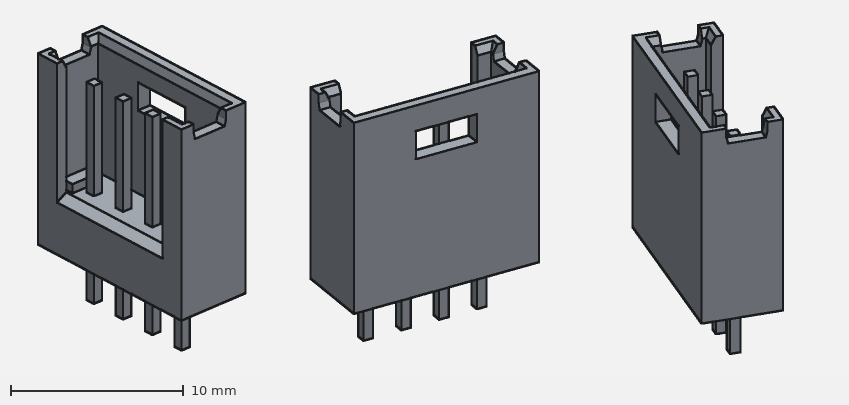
import cadquery as cq

body_x = 12.45
body_y = 5.0
body_z = 12.6

end_wall = 0.73
back_wall = 0.96
front_wall = 0.74
floor_z = 3.6
lead_in_width = 0.285
lead_in_depth = 0.515

pin_count = 4
pin_pitch = 2.54
pin_size = 0.64
pin_tail = 3.5
pin_top_z = 10.87
pin_y = -0.28

opening_x = 9.16
sill_outer_z = 3.44
sill_inner_z = 3.84

window_x = 4.1
window_bottom_z = 9.06
window_top_z = 10.91

notch_top_width = 2.52
notch_bottom_width = 2.3
notch_depth = 1.0
notch_taper_height = 0.43

key_y = 2.0
key_height = 0.6

cavity_x = body_x - 2 * end_wall
cavity_back_y = body_y / 2 - back_wall
cavity_front_y = -body_y / 2 + front_wall
cavity_y = cavity_back_y - cavity_front_y
cavity_center_y = (cavity_back_y + cavity_front_y) / 2
key_x = (cavity_x - opening_x) / 2


def block(size_x, y_min, y_max, z_min, z_max, center_x=0):
    """Box centred on center_x, between the given Y and Z limits."""
    return (
        cq.Workplane("XY")
        .box(size_x, y_max - y_min, z_max - z_min, centered=(True, False, False))
        .translate((center_x, y_min, z_min))
    )


def cavity():
    """Mating cavity, with a lead-in flaring out all around its mouth."""
    well = block(cavity_x, cavity_front_y, cavity_back_y, floor_z, body_z)
    lead_in = (
        cq.Workplane("XY", origin=(0, cavity_center_y, body_z - lead_in_depth))
        .rect(cavity_x, cavity_y)
        .workplane(offset=lead_in_depth)
        .rect(cavity_x + 2 * lead_in_width, cavity_y + 2 * lead_in_width)
        .loft(ruled=True)
    )
    return well.union(lead_in)


def front_opening():
    """Opening through the front wall, from the sloping sill to the top."""
    front_y = -body_y / 2
    profile = [
        (front_y, sill_outer_z),
        (cavity_front_y, sill_inner_z),
        (cavity_front_y, body_z),
        (front_y, body_z),
    ]
    return cq.Workplane("YZ").polyline(profile).close().extrude(opening_x / 2, both=True)


def back_window():
    """Rectangular window through the back wall."""
    return block(window_x, cavity_back_y, body_y / 2, window_bottom_z, window_top_z)


def end_notches():
    """Notch with tapered lower corners, cut through both end walls."""
    half_top = notch_top_width / 2
    half_bottom = notch_bottom_width / 2
    bottom_z = body_z - notch_depth
    taper_z = bottom_z + notch_taper_height
    profile = [
        (pin_y - half_bottom, bottom_z),
        (pin_y + half_bottom, bottom_z),
        (pin_y + half_top, taper_z),
        (pin_y + half_top, body_z),
        (pin_y - half_top, body_z),
        (pin_y - half_top, taper_z),
    ]
    return cq.Workplane("YZ").polyline(profile).close().extrude(body_x / 2, both=True)


def key(side):
    """Key on the floor at the end given by side (-1 or +1)."""
    center_x = side * (cavity_x - key_x) / 2
    return block(key_x, pin_y - key_y / 2, pin_y + key_y / 2, floor_z, floor_z + key_height, center_x)


def pin(index):
    """Square pin running through the floor, with its tail below the housing."""
    center_x = (index - (pin_count - 1) / 2) * pin_pitch
    return block(pin_size, pin_y - pin_size / 2, pin_y + pin_size / 2, -pin_tail, pin_top_z, center_x)


result = block(body_x, -body_y / 2, body_y / 2, 0, body_z)
result = result.cut(cavity()).cut(front_opening()).cut(back_window()).cut(end_notches())
for end in (-1, 1):
    result = result.union(key(end))
for pin_index in range(pin_count):
    result = result.union(pin(pin_index))